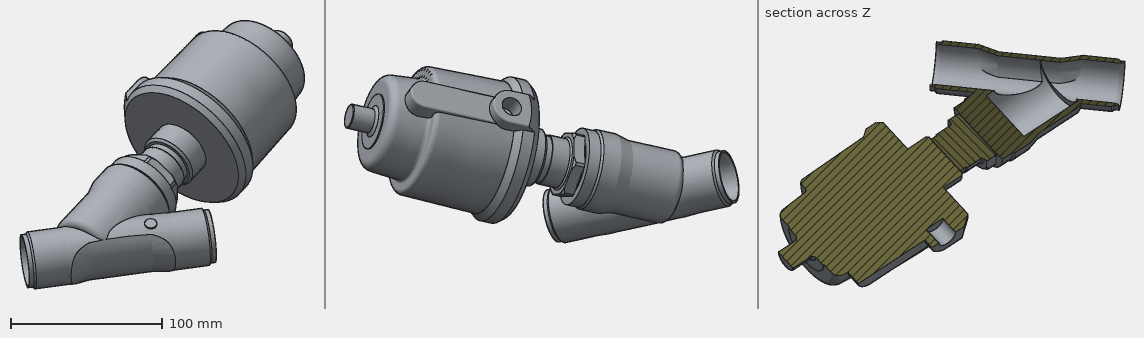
import cadquery as cq
import math


overall_length = 273.4
overall_width = 126.0
overall_height = 97.5
small_fillet = 1.0

pipe_centre_y = -98.7
pipe_half_length = 63.0
pipe_radius = 19.0
pipe_wall = 3.5
mouth_bevel_depth = 3.0
mouth_bevel_width = 0.8
lip_radius = 17.8
lip_length = 3.0
lip_bevel = 1.5
socket_length = 26.5
bulge_radius = 20.2
waist_half_length = 20.8
waist_depth = 15.0
waist_crease = 6.3
slope_half_length = 37.7
slope_depth = 20.0
slope_crease = 10.5
crease_clearance = 0.5
pad_radius = 4.0
pad_from_centre = 22.0
pad_height = 20.5

valve_top = -44.0
rim_radius = 26.0
rim_bottom = -52.2
collar_radius = 27.0
collar_top = -53.8
collar_bottom = -66.7
neck_radius = 24.5
neck_top = -76.0
neck_bottom = -113.7
neck_fillet = 4.6
chamber_radius = 20.2
chamber_floor = -112.0

hex_across_flats = 41.3
hex_corner_radius = 23.2
hex_top = -35.0
hex_bottom = -43.0
hex_corner_chamfer = 1.6
seat_ring_radius = 20.0
nipple_radius = 16.7
nipple_flare_top = -34.0
nipple_flare_radius = 18.0
nipple_shoulder = -21.5
groove_radius = 15.9

spigot_radius = 19.5
spigot_bottom = -17.0
spigot_chamfer = 1.6
flange_radius = overall_height / 2
flange_bottom_radius = 45.6
flange_chamfer_height = 4.0
flange_bevel_bottom = 12.3
flange_bevel_width = 3.8
flange_top = 17.2
barrel_bottom_radius = 44.8
barrel_top_radius = 43.5
barrel_top = 72.7
barrel_fillet = 3.3
cap_bottom_radius = 34.5
cap_top_radius = 32.3
cap_top = 99.8
cap_fillet = 6.0
cap_root_fillet = 2.5
disc_radius = 18.5
disc_top = 100.5
stem_foot_radius = 10.7
stem_radius = 8.2
stem_foot_top = 102.2
stem_chamfer = 0.5

rail_face = 44.3
rail_half_width = 10.5
rail_end_centre = 80.6
boss_face = 52.0
boss_half_width = 12.8
port_centre = 22.5
port_radius = 6.8
port_depth = 13.7

pipe_reach = (pipe_half_length + lip_radius) * math.sqrt(0.5)
pipe_centre_x = overall_width - boss_face - pipe_reach
stem_top = overall_length + pipe_centre_y - pipe_reach
socket_start = pipe_half_length - socket_length
bore_radius = pipe_radius - pipe_wall


def turned(points):
    """Solid of revolution about the Y axis from (radius, y) points that start and end on it."""
    return cq.Workplane("XY").polyline(points).close().revolve(360, (0, 0), (0, 1))


def ring_edge(y):
    """Selector for the circular edges about the Y axis that lie at height y."""
    reach = 2 * flange_radius
    gap = 0.03
    return cq.selectors.BoxSelector((-reach, y - gap, -reach), (reach, y + gap, reach))


def side_lug(face, half_width, low, high):
    """Round-topped block on the -X side, reaching from its outer face to the actuator axis."""
    profile = (
        cq.Workplane("YZ", origin=(-face, 0, 0))
        .moveTo(low, -half_width)
        .lineTo(high, -half_width)
        .threePointArc((high + half_width, 0), (high, half_width))
        .lineTo(low, half_width)
        .close()
    )
    return profile.extrude(face).faces("<X").edges().fillet(small_fillet)


def actuator_housing():
    """Flange, tapered barrel and cap."""
    housing = turned([
        (0, 0),
        (flange_bottom_radius, 0),
        (flange_radius, flange_chamfer_height),
        (flange_radius, flange_bevel_bottom),
        (flange_radius - flange_bevel_width, flange_top),
        (barrel_bottom_radius, flange_top),
        (barrel_top_radius, barrel_top),
        (cap_bottom_radius, barrel_top),
        (cap_top_radius, cap_top),
        (0, cap_top),
    ])
    barrel_edges = housing.edges(ring_edge(barrel_top))
    housing = barrel_edges.edges(cq.selectors.RadiusNthSelector(1)).fillet(barrel_fillet)
    root_edges = housing.edges(ring_edge(barrel_top))
    housing = root_edges.edges(cq.selectors.RadiusNthSelector(0)).fillet(cap_root_fillet)
    return housing.edges(ring_edge(cap_top)).fillet(cap_fillet)


def actuator_stem():
    """Stem on top of the cap, with its foot and the thin disc under it."""
    return turned([
        (0, cap_top),
        (disc_radius, cap_top),
        (disc_radius, disc_top),
        (stem_foot_radius, disc_top),
        (stem_radius, stem_foot_top),
        (stem_radius, stem_top - stem_chamfer),
        (stem_radius - stem_chamfer, stem_top),
        (0, stem_top),
    ])


def actuator_spigot():
    """Round spigot under the flange."""
    return turned([
        (0, 0),
        (spigot_radius, 0),
        (spigot_radius, spigot_bottom + spigot_chamfer),
        (spigot_radius - spigot_chamfer, spigot_bottom),
        (0, spigot_bottom),
    ])


def port_boss():
    """Boss for the air port; the cone of the flange chamfer runs on across its lower end."""
    flange_slope = (flange_radius - flange_bottom_radius) / flange_chamfer_height
    cone_height = port_centre
    cone_radius = flange_bottom_radius + flange_slope * cone_height
    cone_top = port_centre + boss_half_width
    cone = turned([
        (0, 0),
        (flange_bottom_radius, 0),
        (cone_radius, cone_height),
        (cone_radius, cone_top),
        (0, cone_top),
    ])
    return side_lug(boss_face, boss_half_width, 0, port_centre).intersect(cone)


def air_port():
    """Blind round hole in the face of the boss."""
    face = cq.Workplane("YZ", origin=(-boss_face, 0, 0))
    return face.center(port_centre, 0).circle(port_radius).extrude(port_depth)


def make_actuator():
    actuator = actuator_housing().union(actuator_stem()).union(actuator_spigot())
    rail = side_lug(rail_face, rail_half_width, port_centre, rail_end_centre)
    return actuator.union(rail).union(port_boss()).cut(air_port())


def make_nipple():
    shank = turned([
        (0, spigot_bottom),
        (groove_radius, spigot_bottom),
        (groove_radius, nipple_shoulder),
        (nipple_radius, nipple_shoulder),
        (nipple_radius, nipple_flare_top),
        (nipple_flare_radius, hex_top),
        (seat_ring_radius, hex_top),
        (seat_ring_radius, valve_top),
        (0, valve_top),
    ])
    across_corners = hex_across_flats / math.cos(math.pi / 6)
    hexagon = (
        cq.Workplane("XZ", origin=(0, hex_top, 0))
        .transformed(rotate=(0, 0, 90))
        .polygon(6, across_corners)
        .extrude(hex_top - hex_bottom)
    )
    corner_round = turned([
        (0, hex_top),
        (hex_corner_radius - hex_corner_chamfer, hex_top),
        (hex_corner_radius, hex_top - hex_corner_chamfer),
        (hex_corner_radius, hex_bottom),
        (0, hex_bottom),
    ])
    return shank.union(hexagon.intersect(corner_round))


def pipe_plane(along):
    """Plane across the pipe; its local x points from the pipe axis to the flattened underside."""
    shift = along * math.sqrt(0.5)
    origin = (pipe_centre_x + shift, pipe_centre_y + shift, 0)
    return cq.Plane(origin=origin, xDir=(1, -1, 0), normal=(1, 1, 0))


def pipe_profile_plane(direction):
    """Plane through the pipe axis; its local x runs outwards towards one end of the pipe."""
    return cq.Plane(
        origin=(pipe_centre_x, pipe_centre_y, 0),
        xDir=(direction, direction, 0),
        normal=(0, 0, 1),
    )


def underside_section(along, depth, crease, inset):
    """Wire across the pipe: a shallow arc for the underside, wide open around the round back."""
    crease_radius = bulge_radius + crease_clearance
    half_width = math.sqrt(crease_radius**2 - crease**2) - inset
    back = 2 * bulge_radius
    return (
        cq.Workplane(pipe_plane(along))
        .moveTo(crease - inset, half_width)
        .threePointArc((depth - inset, 0), (crease - inset, -half_width))
        .lineTo(-back, -back)
        .lineTo(-back, back)
        .close()
        .val()
    )


def waist_envelope(inset):
    """Solid whose lower surface is the flattened underside of the pipe and its sloped ends."""
    sections = [
        underside_section(-slope_half_length, slope_depth, slope_crease, inset),
        underside_section(-waist_half_length, waist_depth, waist_crease, inset),
        underside_section(waist_half_length, waist_depth, waist_crease, inset),
        underside_section(slope_half_length, slope_depth, slope_crease, inset),
    ]
    return cq.Workplane(cq.Solid.makeLoft(sections, True))


def pipe_middle():
    """Swelling stretch between the two sockets, flattened on the underside."""
    barrel = (
        cq.Workplane(pipe_profile_plane(1))
        .moveTo(-socket_start, 0)
        .lineTo(-socket_start, pipe_radius)
        .threePointArc((0, bulge_radius), (socket_start, pipe_radius))
        .lineTo(socket_start, 0)
        .close()
        .revolve(360, (0, 0), (1, 0))
    )
    return barrel.intersect(waist_envelope(0))


def flow_passage():
    """Round bore between the two sockets, narrowed by the flattened underside."""
    bore = cq.Workplane(pipe_plane(-socket_start)).circle(bore_radius)
    return bore.extrude(2 * socket_start).intersect(waist_envelope(pipe_wall))


def pipe_socket(direction):
    """Round end of the pipe with a bevel down to its lip."""
    lip_start = pipe_half_length - lip_length
    outline = [
        (socket_start, 0),
        (socket_start, pipe_radius),
        (lip_start - lip_bevel, pipe_radius),
        (lip_start, lip_radius),
        (pipe_half_length, lip_radius),
        (pipe_half_length, 0),
    ]
    profile = cq.Workplane(pipe_profile_plane(direction)).polyline(outline).close()
    return profile.revolve(360, (0, 0), (1, 0))


def socket_bore(direction):
    """Bore of one socket, bevelled open at the mouth."""
    outline = [
        (socket_start, 0),
        (socket_start, bore_radius),
        (pipe_half_length - mouth_bevel_depth, bore_radius),
        (pipe_half_length, bore_radius + mouth_bevel_width),
        (pipe_half_length, 0),
    ]
    profile = cq.Workplane(pipe_profile_plane(direction)).polyline(outline).close()
    return profile.revolve(360, (0, 0), (1, 0))


def valve_neck():
    """Stepped round neck that holds the nipple and stands on the pipe."""
    neck = turned([
        (0, valve_top),
        (rim_radius, valve_top),
        (rim_radius, rim_bottom),
        (collar_radius, collar_top),
        (collar_radius, collar_bottom),
        (neck_radius, neck_top),
        (neck_radius, neck_bottom),
        (0, neck_bottom),
    ])
    return neck.edges(ring_edge(neck_bottom)).fillet(neck_fillet)


def pipe_pad():
    """Small flat-topped round pad on the +Z side of the pipe."""
    centre = pipe_plane(pad_from_centre).origin
    place = cq.Workplane("XY", origin=(centre.x, centre.y, 0))
    return place.circle(pad_radius).extrude(pad_height)


def valve_chamber():
    """Round chamber in the neck, open to the flow passage below."""
    return turned([
        (0, collar_bottom),
        (chamber_radius, collar_bottom),
        (chamber_radius, chamber_floor),
        (0, chamber_floor),
    ])


def make_valve():
    valve = valve_neck().union(pipe_middle()).union(pipe_pad())
    for direction in (-1, 1):
        valve = valve.union(pipe_socket(direction)).cut(socket_bore(direction))
    return valve.cut(flow_passage()).cut(valve_chamber())


actuator = make_actuator()
nipple = make_nipple()
valve_body = make_valve()

result = cq.Compound.makeCompound([actuator.val(), nipple.val(), valve_body.val()])